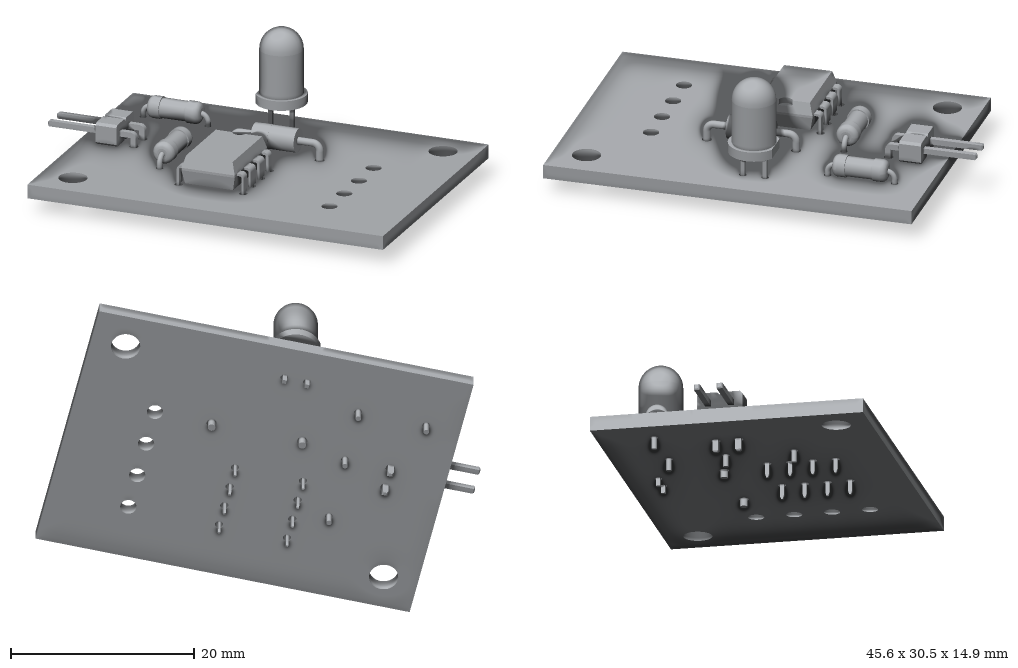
import cadquery as cq
import math

BOARD_LENGTH = 41.9
GRID = BOARD_LENGTH / 33
BOARD_WIDTH = 24 * GRID
BOARD_THICKNESS = 1.6
MOUNT_HOLE_DIAMETER = 3.2
MOUNT_HOLE_INSET = 3 * GRID
TERMINAL_HOLE_DIAMETER = 1.8
TERMINAL_COUNT = 4
TERMINAL_X = 26 * GRID
TERMINAL_FIRST_Y = 5 * GRID
TERMINAL_PITCH = 10 * GRID / 3

RESISTOR_SPAN = 6 * GRID
RESISTOR_AXIS_Z = 1.35
RESISTOR_LENGTH = 6.2
RESISTOR_CAP_DIAMETER = 2.5
RESISTOR_CAP_LENGTH = 1.55
RESISTOR_CAP_ROUNDING = 0.65
RESISTOR_MIDDLE_DIAMETER = 2.25
RESISTOR_LEAD_DIAMETER = 0.6
RESISTOR_LEAD_BEND = 0.9
RESISTOR_LEAD_END_Z = -2.9
RESISTOR_HOLE_DIAMETER = 0.8
FLAT_RESISTOR_CENTER = (6 * GRID, 19 * GRID)
UPRIGHT_RESISTOR_CENTER = (9 * GRID, 11 * GRID)

DIODE_SPAN = 8 * GRID
DIODE_CENTER = (17 * GRID, 15 * GRID)
DIODE_AXIS_Z = 1.9
DIODE_LENGTH = 5.1
DIODE_DIAMETER = 2.7
DIODE_BAND_DIAMETER = 2.75
DIODE_BAND_OFFSET = 0.78
DIODE_BAND_LENGTH = 1.25
DIODE_LEAD_DIAMETER = 0.8
DIODE_LEAD_BEND = 0.8
DIODE_LEAD_END_Z = -2.45
DIODE_HOLE_DIAMETER = 1.1

LED_CENTER = (15 * GRID, 21 * GRID)
LED_DIAMETER = 4.9
LED_FLANGE_DIAMETER = 5.75
LED_FLANGE_BOTTOM_Z = 3.05
LED_FLANGE_HEIGHT = 1.1
LED_FLAT_DISTANCE = 2.45
LED_DOME_START_Z = 9.25
LED_LEAD_SIZE = 0.45
LED_LEAD_END_Z = -2.45
LED_HOLE_DIAMETER = 0.8

HEADER_LEG_X = 5 * GRID
HEADER_PIN_YS = (12 * GRID, 14 * GRID)
HEADER_PITCH = 2 * GRID
HEADER_PIN_SIZE = 0.65
HEADER_PIN_AXIS_Z = 1.35
HEADER_TIP_X = BOARD_LENGTH - 45.6
HEADER_LEG_END_Z = -2.9
HEADER_TIP_CHAMFER = 0.15
HEADER_BLOCK_X = 2.33
HEADER_BLOCK_LENGTH = 2.45
HEADER_BLOCK_HEIGHT = 2.5
HEADER_BLOCK_CHAMFER = 0.27
HEADER_HOLE_DIAMETER = 1.0

CHIP_CENTER = (15 * GRID, 8 * GRID)
CHIP_ROW_OFFSET = 3 * GRID
CHIP_LEAD_OFFSETS = (-3 * GRID, -GRID, GRID, 3 * GRID)
CHIP_WIDTH = 6.3
CHIP_LENGTH = 9.35
CHIP_BOTTOM_Z = 0.45
CHIP_BAND_BOTTOM_Z = 2.05
CHIP_BAND_TOP_Z = 2.33
CHIP_TOP_Z = 3.7
CHIP_TOP_INSET = 0.4
CHIP_BOTTOM_INSET = 0.3
CHIP_NOTCH_DIAMETER = 1.55
CHIP_NOTCH_DEPTH = 0.65
CHIP_LEAD_THICKNESS = CHIP_BAND_TOP_Z - CHIP_BAND_BOTTOM_Z
CHIP_SHOULDER_WIDTH = 1.5
CHIP_SHOULDER_BOTTOM_Z = 0.15
CHIP_BEND_INNER_RADIUS = 0.2
CHIP_LEG_WIDTH = 0.45
CHIP_LEG_TAPER_Z = -2.8
CHIP_LEG_END_Z = -3.2
CHIP_LEG_TIP_WIDTH = 0.2
CHIP_HOLE_DIAMETER = 0.9


def box_between(x_range, y_range, z_range):
    """Box given by its lower and upper limits along each axis."""
    ranges = (x_range, y_range, z_range)
    sizes = [upper - lower for lower, upper in ranges]
    corner = tuple(lower for lower, upper in ranges)
    return cq.Workplane("XY").box(*sizes, centered=False).translate(corner)


def cylinder_along_x(diameter, start_x, length, axis_z):
    """Cylinder whose axis is parallel to X, in the plane Y = 0."""
    return cq.Workplane("YZ", origin=(start_x, 0, axis_z)).circle(diameter / 2).extrude(length)


def bent_wire(span, diameter, axis_z, bend_radius, end_z):
    """Round wire running along X with both ends bent down into the board."""
    half = span / 2
    shoulder_z = axis_z - bend_radius
    bend_x = half - bend_radius
    diagonal = bend_radius * math.sqrt(0.5)
    path = (
        cq.Workplane("XZ")
        .moveTo(-half, end_z)
        .lineTo(-half, shoulder_z)
        .threePointArc((-bend_x - diagonal, shoulder_z + diagonal), (-bend_x, axis_z))
        .lineTo(bend_x, axis_z)
        .threePointArc((bend_x + diagonal, shoulder_z + diagonal), (half, shoulder_z))
        .lineTo(half, end_z)
    )
    return cq.Workplane("XY", origin=(-half, 0, end_z)).circle(diameter / 2).sweep(path)


def hole_pair_along_x(center, span):
    """Lead hole positions of a part lying along X."""
    x, y = center
    return [(x - span / 2, y), (x + span / 2, y)]


def hole_pair_along_y(center, span):
    """Lead hole positions of a part lying along Y."""
    x, y = center
    return [(x, y - span / 2), (x, y + span / 2)]


def led_lead_points():
    return hole_pair_along_x(LED_CENTER, 2 * GRID)


def chip_lead_points():
    x, y = CHIP_CENTER
    return [(x + side * CHIP_ROW_OFFSET, y + offset) for side in (-1, 1) for offset in CHIP_LEAD_OFFSETS]


def make_board():
    mount_points = [
        (MOUNT_HOLE_INSET, MOUNT_HOLE_INSET),
        (BOARD_LENGTH - MOUNT_HOLE_INSET, BOARD_WIDTH - MOUNT_HOLE_INSET),
    ]
    terminal_points = [
        (TERMINAL_X, TERMINAL_FIRST_Y + i * TERMINAL_PITCH) for i in range(TERMINAL_COUNT)
    ]
    resistor_points = hole_pair_along_x(FLAT_RESISTOR_CENTER, RESISTOR_SPAN)
    resistor_points += hole_pair_along_y(UPRIGHT_RESISTOR_CENTER, RESISTOR_SPAN)
    hole_groups = [
        (MOUNT_HOLE_DIAMETER, mount_points),
        (TERMINAL_HOLE_DIAMETER, terminal_points),
        (RESISTOR_HOLE_DIAMETER, resistor_points),
        (DIODE_HOLE_DIAMETER, hole_pair_along_x(DIODE_CENTER, DIODE_SPAN)),
        (LED_HOLE_DIAMETER, led_lead_points()),
        (HEADER_HOLE_DIAMETER, [(HEADER_LEG_X, y) for y in HEADER_PIN_YS]),
        (CHIP_HOLE_DIAMETER, chip_lead_points()),
    ]
    board = box_between((0, BOARD_LENGTH), (0, BOARD_WIDTH), (-BOARD_THICKNESS, 0))
    for diameter, points in hole_groups:
        holes = (
            cq.Workplane("XY", origin=(0, 0, -BOARD_THICKNESS))
            .pushPoints(points)
            .circle(diameter / 2)
            .extrude(BOARD_THICKNESS)
        )
        board = board.cut(holes)
    return board


def make_resistor(center, turn):
    """Resistor with two rounded end caps, turned about Z and set down at its centre."""
    half = RESISTOR_LENGTH / 2
    middle_length = RESISTOR_LENGTH - 2 * RESISTOR_CAP_LENGTH
    body = cylinder_along_x(RESISTOR_MIDDLE_DIAMETER, -middle_length / 2, middle_length, RESISTOR_AXIS_Z)
    left_cap = cylinder_along_x(RESISTOR_CAP_DIAMETER, -half, RESISTOR_CAP_LENGTH, RESISTOR_AXIS_Z)
    left_cap = left_cap.faces("<X").edges().fillet(RESISTOR_CAP_ROUNDING)
    wire = bent_wire(
        RESISTOR_SPAN, RESISTOR_LEAD_DIAMETER, RESISTOR_AXIS_Z, RESISTOR_LEAD_BEND, RESISTOR_LEAD_END_Z
    )
    resistor = body.union(left_cap).union(left_cap.mirror("YZ")).union(wire)
    return resistor.rotate((0, 0, 0), (0, 0, 1), turn).translate((*center, 0))


def make_diode():
    start_x = -DIODE_LENGTH / 2
    body = cylinder_along_x(DIODE_DIAMETER, start_x, DIODE_LENGTH, DIODE_AXIS_Z)
    band_x = start_x + DIODE_BAND_OFFSET
    band = cylinder_along_x(DIODE_BAND_DIAMETER, band_x, DIODE_BAND_LENGTH, DIODE_AXIS_Z)
    wire = bent_wire(DIODE_SPAN, DIODE_LEAD_DIAMETER, DIODE_AXIS_Z, DIODE_LEAD_BEND, DIODE_LEAD_END_Z)
    return body.union(band).union(wire).translate((*DIODE_CENTER, 0))


def make_led():
    radius = LED_DIAMETER / 2
    diagonal = radius * math.sqrt(0.5)
    lens = (
        cq.Workplane("XZ")
        .moveTo(0, LED_FLANGE_BOTTOM_Z)
        .lineTo(radius, LED_FLANGE_BOTTOM_Z)
        .lineTo(radius, LED_DOME_START_Z)
        .threePointArc((diagonal, LED_DOME_START_Z + diagonal), (0, LED_DOME_START_Z + radius))
        .close()
        .revolve(360, (0, 0, 0), (0, 1, 0))
    )
    flange_radius = LED_FLANGE_DIAMETER / 2
    flange_z = (LED_FLANGE_BOTTOM_Z, LED_FLANGE_BOTTOM_Z + LED_FLANGE_HEIGHT)
    flange = (
        cq.Workplane("XY", origin=(0, 0, LED_FLANGE_BOTTOM_Z))
        .circle(flange_radius)
        .extrude(LED_FLANGE_HEIGHT)
    )
    beyond_flat = box_between(
        (-flange_radius, -LED_FLAT_DISTANCE), (-flange_radius, flange_radius), flange_z
    )
    leads = (
        cq.Workplane("XY", origin=(0, 0, LED_LEAD_END_Z))
        .pushPoints(led_lead_points())
        .rect(LED_LEAD_SIZE, LED_LEAD_SIZE)
        .extrude(LED_FLANGE_BOTTOM_Z - LED_LEAD_END_Z)
    )
    return flange.cut(beyond_flat).union(lens).translate((*LED_CENTER, 0)).union(leads)


def make_header_pin(pin_y):
    """Square right-angle pin: chamfered tip over the board edge, leg down through the board."""
    half = HEADER_PIN_SIZE / 2
    inner_x = HEADER_LEG_X - half
    outer_x = HEADER_LEG_X + half
    lower_z = HEADER_PIN_AXIS_Z - half
    upper_z = HEADER_PIN_AXIS_Z + half
    diagonal = HEADER_PIN_SIZE * math.sqrt(0.5)
    pin = (
        cq.Workplane("XZ", origin=(0, pin_y, 0))
        .moveTo(HEADER_TIP_X, lower_z)
        .lineTo(HEADER_TIP_X, upper_z)
        .lineTo(inner_x, upper_z)
        .threePointArc((inner_x + diagonal, lower_z + diagonal), (outer_x, lower_z))
        .lineTo(outer_x, HEADER_LEG_END_Z)
        .lineTo(inner_x, HEADER_LEG_END_Z)
        .lineTo(inner_x, lower_z)
        .close()
        .extrude(half, both=True)
    )
    pin = pin.faces("<X").chamfer(HEADER_TIP_CHAMFER)
    return pin.faces("<Z").chamfer(HEADER_TIP_CHAMFER)


def make_header():
    """Two chamfered blocks side by side, each with its own pin."""
    half_height = HEADER_BLOCK_HEIGHT / 2
    z_range = (HEADER_PIN_AXIS_Z - half_height, HEADER_PIN_AXIS_Z + half_height)
    header = None
    for pin_y in HEADER_PIN_YS:
        block = box_between(
            (HEADER_BLOCK_X, HEADER_BLOCK_X + HEADER_BLOCK_LENGTH),
            (pin_y - HEADER_PITCH / 2, pin_y + HEADER_PITCH / 2),
            z_range,
        )
        block = block.edges("|X").chamfer(HEADER_BLOCK_CHAMFER).union(make_header_pin(pin_y))
        header = block if header is None else header.union(block)
    return header


def make_chip_package():
    """Moulded package: a straight band with a tapered half above and below, and an end notch."""

    def tapered_half(band_z, end_z, inset):
        return (
            cq.Workplane("XY", origin=(0, 0, band_z))
            .rect(CHIP_WIDTH, CHIP_LENGTH)
            .workplane(offset=end_z - band_z)
            .rect(CHIP_WIDTH - 2 * inset, CHIP_LENGTH - 2 * inset)
            .loft(ruled=True)
        )

    band = (
        cq.Workplane("XY", origin=(0, 0, CHIP_BAND_BOTTOM_Z))
        .rect(CHIP_WIDTH, CHIP_LENGTH)
        .extrude(CHIP_BAND_TOP_Z - CHIP_BAND_BOTTOM_Z)
    )
    package = band.union(tapered_half(CHIP_BAND_TOP_Z, CHIP_TOP_Z, CHIP_TOP_INSET))
    package = package.union(tapered_half(CHIP_BAND_BOTTOM_Z, CHIP_BOTTOM_Z, CHIP_BOTTOM_INSET))
    floor_inset = CHIP_TOP_INSET * (1 - CHIP_NOTCH_DEPTH / (CHIP_TOP_Z - CHIP_BAND_TOP_Z))
    notch = (
        cq.Workplane("XY", origin=(0, CHIP_LENGTH / 2 - floor_inset, CHIP_TOP_Z - CHIP_NOTCH_DEPTH))
        .circle(CHIP_NOTCH_DIAMETER / 2)
        .extrude(CHIP_NOTCH_DEPTH)
    )
    return package.cut(notch)


def make_chip_lead(lead_y, shoulder_start, shoulder_end):
    """Lead of the +X row: wide bent shoulder above the board, narrow tapered leg through it."""
    outer_x = CHIP_ROW_OFFSET + CHIP_LEAD_THICKNESS / 2
    inner_x = outer_x - CHIP_LEAD_THICKNESS
    root_x = CHIP_WIDTH / 2
    inner_radius = CHIP_BEND_INNER_RADIUS
    outer_radius = inner_radius + CHIP_LEAD_THICKNESS
    bend_x = outer_x - outer_radius
    bend_z = CHIP_BAND_TOP_Z - outer_radius
    outer_diagonal = outer_radius * math.sqrt(0.5)
    inner_diagonal = inner_radius * math.sqrt(0.5)
    shoulder = (
        cq.Workplane("XZ", origin=(0, shoulder_end, 0))
        .moveTo(root_x, CHIP_BAND_TOP_Z)
        .lineTo(bend_x, CHIP_BAND_TOP_Z)
        .threePointArc((bend_x + outer_diagonal, bend_z + outer_diagonal), (outer_x, bend_z))
        .lineTo(outer_x, CHIP_SHOULDER_BOTTOM_Z)
        .lineTo(inner_x, CHIP_SHOULDER_BOTTOM_Z)
        .lineTo(inner_x, bend_z)
        .threePointArc((bend_x + inner_diagonal, bend_z + inner_diagonal), (bend_x, CHIP_BAND_BOTTOM_Z))
        .lineTo(root_x, CHIP_BAND_BOTTOM_Z)
        .close()
        .extrude(shoulder_end - shoulder_start)
    )
    half_leg = CHIP_LEG_WIDTH / 2
    half_tip = CHIP_LEG_TIP_WIDTH / 2
    leg = (
        cq.Workplane("YZ", origin=(inner_x, lead_y, 0))
        .polyline([
            (-half_leg, CHIP_SHOULDER_BOTTOM_Z),
            (-half_leg, CHIP_LEG_TAPER_Z),
            (-half_tip, CHIP_LEG_END_Z),
            (half_tip, CHIP_LEG_END_Z),
            (half_leg, CHIP_LEG_TAPER_Z),
            (half_leg, CHIP_SHOULDER_BOTTOM_Z),
        ])
        .close()
        .extrude(CHIP_LEAD_THICKNESS)
    )
    return shoulder.union(leg)


def make_chip():
    chip = make_chip_package()
    last_offset = CHIP_LEAD_OFFSETS[-1]
    for lead_y in CHIP_LEAD_OFFSETS:
        shoulder_limit = last_offset + CHIP_LEG_WIDTH / 2
        shoulder_start = max(lead_y - CHIP_SHOULDER_WIDTH / 2, -shoulder_limit)
        shoulder_end = min(lead_y + CHIP_SHOULDER_WIDTH / 2, shoulder_limit)
        lead = make_chip_lead(lead_y, shoulder_start, shoulder_end)
        chip = chip.union(lead).union(lead.mirror("YZ"))
    return chip.translate((*CHIP_CENTER, 0))


board = make_board()
resistors = [
    make_resistor(center, turn)
    for center, turn in ((FLAT_RESISTOR_CENTER, 0), (UPRIGHT_RESISTOR_CENTER, 90))
]
diode = make_diode()
led = make_led()
header = make_header()
chip = make_chip()

result = cq.Compound.makeCompound([
    board.val(),
    *[resistor.val() for resistor in resistors],
    diode.val(),
    led.val(),
    header.val(),
    chip.val(),
])